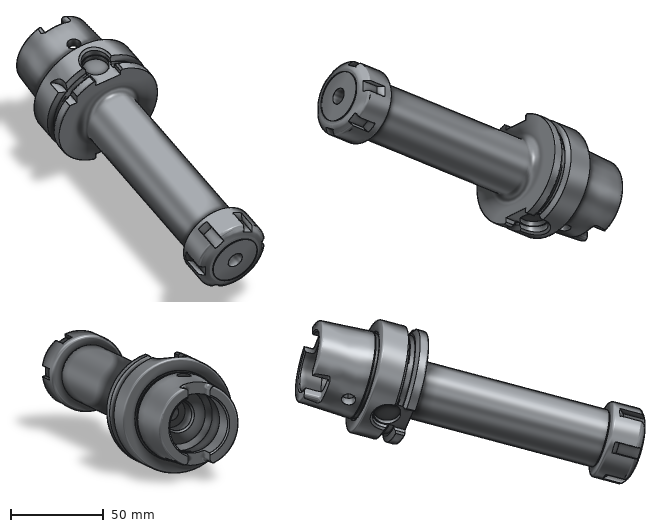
import cadquery as cq
import math


shank_end_radius = 22.8
shank_rim_fillet = 1.3
shank_slope = 0.05
relief_start = 29.7
relief_slope_end = 30.5
relief_radius = 23.8
relief_outer_radius = 24.9
relief_face_depth = 0.5

flange_start = 31.8
flange_end = 57.8
flange_radius = 63.0 / 2
flange_front_fillet = 1.1
flange_back_chamfer = (0.7, 0.2)
groove_start = 46.2
groove_end = 53.0
groove_floor_radius = 27.5
groove_wall_inset = 1.7
groove_wall_angle = 30
groove_fillet = 0.7

shaft_radius = 32.0 / 2
shaft_fillet = 4.7
nose_start = 166.7
nose_chamfer = 0.7
nose_end = 179.6

mouth_radius = 17.5
mouth_depth = 0.7
bore_radius = 16.7
clamp_lip_depth = 13.0
clamp_radius = 18.5
bore_floor = 31.8
floor_chamfer_radius = 15.5
tube_radius = 9.4
tube_depth = 11.2
tube_chamfer = 1.1
coolant_radius = 4.5

drive_half_width = 6.4
drive_depth_top = 5.8
drive_depth_bottom = 9.7
drive_flare_height = 18.9
drive_flare_radius = 2.0
drive_floor_fillet = 1.7

cross_hole_x = 22.8
cross_hole_radius = 3.7

key_center_x = 44.9
key_half_width = 7.9
key_floor = 26.5
key_edge_chamfer = 1.3
key_recess_radius = 7.3
key_recess_depth = 2.8

notch_inset = 19.8
notch_center_x = 44.3
notch_cutter_radius = 6.7

nut_end = 187.1
nut_radius = 42.1 / 2
nut_back_fillet = 1.7
nut_shoulder = 182.5
nut_edge_middle = (183.4, 20.8)
nut_edge_end = (184.1, 20.0)
nut_dome_middle = (185.6, 18.1)
nut_face = 186.5
nut_face_radius = 15.7
nut_boss_radius = 14.0

wrench_count = 6
wrench_first_angle = 30
wrench_width = 6.2
wrench_floor_radius = 18.0
wrench_start_low_y = 170.3
wrench_start_high_y = 172.1

clear = 9.4

quarter_sag = 1 - math.sqrt(0.5)


def turn(profile):
    """Revolve a closed XY profile, whose Y is the radius, about the X axis."""
    return profile.close().revolve(360, (0, 0, 0), (1, 0, 0))


def axial_rod(start, end, radius):
    return cq.Workplane("YZ", origin=(start, 0, 0)).circle(radius).extrude(end - start)


def holder_blank():
    shank_back_radius = shank_end_radius + shank_slope * relief_start
    wall_drop = groove_wall_inset / math.tan(math.radians(groove_wall_angle))
    wall_radius = flange_radius - wall_drop
    left_wall = groove_start + groove_wall_inset
    right_wall = groove_end - groove_wall_inset
    rim_sag = shank_rim_fillet * quarter_sag
    flange_sag = flange_front_fillet * quarter_sag
    groove_sag = groove_fillet * quarter_sag
    shaft_sag = shaft_fillet * quarter_sag
    nose_radius = shaft_radius - nose_chamfer
    profile = (
        cq.Workplane("XY")
        .moveTo(0, 0)
        .lineTo(0, shank_end_radius - shank_rim_fillet)
        .threePointArc((rim_sag, shank_end_radius - rim_sag), (shank_rim_fillet, shank_end_radius))
        .lineTo(relief_start, shank_back_radius)
        .lineTo(relief_slope_end, relief_radius)
        .lineTo(flange_start + relief_face_depth, relief_radius)
        .lineTo(flange_start + relief_face_depth, relief_outer_radius)
        .lineTo(flange_start, relief_outer_radius)
        .lineTo(flange_start, flange_radius - flange_front_fillet)
        .threePointArc(
            (flange_start + flange_sag, flange_radius - flange_sag),
            (flange_start + flange_front_fillet, flange_radius),
        )
        .lineTo(groove_start, flange_radius)
        .lineTo(left_wall, wall_radius)
        .lineTo(left_wall, groove_floor_radius + groove_fillet)
        .threePointArc(
            (left_wall + groove_sag, groove_floor_radius + groove_sag),
            (left_wall + groove_fillet, groove_floor_radius),
        )
        .lineTo(right_wall, groove_floor_radius)
        .lineTo(right_wall, wall_radius)
        .lineTo(groove_end, flange_radius)
        .lineTo(flange_end - flange_back_chamfer[0], flange_radius)
        .lineTo(flange_end, flange_radius - flange_back_chamfer[1])
        .lineTo(flange_end, shaft_radius + shaft_fillet)
        .threePointArc(
            (flange_end + shaft_sag, shaft_radius + shaft_sag),
            (flange_end + shaft_fillet, shaft_radius),
        )
        .lineTo(nose_start - nose_chamfer, shaft_radius)
        .lineTo(nose_start, nose_radius)
        .lineTo(nose_end, nose_radius)
        .lineTo(nose_end, 0)
    )
    return turn(profile)


def axial_bores():
    floor_chamfer = clamp_radius - floor_chamfer_radius
    tube_end = bore_floor + tube_depth
    profile = (
        cq.Workplane("XY")
        .moveTo(0, 0)
        .lineTo(0, mouth_radius)
        .lineTo(mouth_depth, bore_radius)
        .lineTo(clamp_lip_depth, bore_radius)
        .lineTo(clamp_lip_depth, clamp_radius)
        .lineTo(bore_floor - floor_chamfer, clamp_radius)
        .lineTo(bore_floor, floor_chamfer_radius)
        .lineTo(bore_floor, tube_radius)
        .lineTo(bore_floor + tube_chamfer, tube_radius - tube_chamfer)
        .lineTo(tube_end, tube_radius - tube_chamfer)
        .lineTo(tube_end, coolant_radius)
        .lineTo(nose_end, coolant_radius)
        .lineTo(nose_end, 0)
    )
    return turn(profile)


def drive_slot(depth):
    """Slot in the top of the shank rim with flared outer corners and a rounded floor."""
    half = drive_half_width
    flare = drive_flare_radius
    flare_sag = flare * quarter_sag
    flare_top = drive_flare_height + flare
    outer_half = half + clear
    outside = shank_end_radius + clear
    slot = (
        cq.Workplane("YZ", origin=(-clear, 0, 0))
        .moveTo(-half, 0)
        .lineTo(half, 0)
        .lineTo(half, drive_flare_height)
        .threePointArc((half + flare_sag, flare_top - flare_sag), (half + flare, flare_top))
        .lineTo(outer_half, flare_top)
        .lineTo(outer_half, outside)
        .lineTo(-outer_half, outside)
        .lineTo(-outer_half, flare_top)
        .lineTo(-half - flare, flare_top)
        .threePointArc((-half - flare_sag, flare_top - flare_sag), (-half, drive_flare_height))
        .close()
        .extrude(depth + clear)
    )
    return slot.faces(">X").edges("not(<Z or >Z or <Y or >Y)").fillet(drive_floor_fillet)


def cross_hole():
    """Plain hole through the shank from top to bottom."""
    reach = shank_end_radius + clear
    return (
        cq.Workplane("XY", origin=(cross_hole_x, 0, -reach))
        .circle(cross_hole_radius)
        .extrude(2 * reach)
    )


def key_slot():
    """Slot with a rounded end on the top of the flange, with a round recess in its floor."""
    half = key_half_width
    slot = (
        cq.Workplane("XY", origin=(0, 0, key_floor))
        .moveTo(flange_end + clear, -half)
        .lineTo(key_center_x, -half)
        .threePointArc((key_center_x - half, 0), (key_center_x, half))
        .lineTo(flange_end + clear, half)
        .close()
        .extrude(clear)
    )
    recess = (
        cq.Workplane("XY", origin=(key_center_x, 0, key_floor - key_recess_depth))
        .circle(key_recess_radius)
        .extrude(key_recess_depth + clear)
    )
    return slot.union(recess)


def chamfer_key_slot(holder, side):
    """Chamfer the key slot's edges on the flange surface; side is 1 for the top, -1 for the bottom."""
    margin = 0.2
    reach = key_half_width + margin
    low = math.sqrt(flange_radius**2 - reach**2)
    edges = cq.selectors.BoxSelector(
        (key_center_x - reach, -reach, side * low),
        (flange_end - flange_back_chamfer[0] + margin, reach, side * (flange_radius + margin)),
        boundingbox=True,
    )
    return holder.edges(edges).chamfer(key_edge_chamfer)


def orientation_notch():
    """Square corner cut at -Y +Z whose closed end is the round of an upright cutter."""
    radius = notch_cutter_radius
    sag = radius * quarter_sag
    reach = 2 * radius
    return (
        cq.Workplane("XY", origin=(0, 0, notch_inset))
        .moveTo(flange_end + clear, -notch_inset)
        .lineTo(notch_center_x, -notch_inset)
        .threePointArc(
            (notch_center_x - radius + sag, -notch_inset - sag),
            (notch_center_x - radius, -notch_inset - radius),
        )
        .lineTo(notch_center_x - radius, -notch_inset - reach)
        .lineTo(flange_end + clear, -notch_inset - reach)
        .close()
        .extrude(reach)
    )


def upside_down(shape):
    return shape.rotate((0, 0, 0), (1, 0, 0), 180)


def make_holder():
    holder = holder_blank().cut(key_slot()).cut(upside_down(key_slot()))
    holder = chamfer_key_slot(holder, 1)
    holder = chamfer_key_slot(holder, -1)
    return (
        holder.cut(axial_bores())
        .cut(drive_slot(drive_depth_top))
        .cut(upside_down(drive_slot(drive_depth_bottom)))
        .cut(orientation_notch())
        .cut(cross_hole())
    )


def wrench_slot(start):
    """Slot at the top of the nut, open at the front, with a 45 degree ramp at its closed end."""
    outside = nut_radius + clear
    return (
        cq.Workplane("XZ", origin=(0, wrench_width / 2, 0))
        .moveTo(start - clear, outside)
        .lineTo(start, nut_radius)
        .lineTo(start + nut_radius - wrench_floor_radius, wrench_floor_radius)
        .lineTo(nut_end + clear, wrench_floor_radius)
        .lineTo(nut_end + clear, outside)
        .close()
        .extrude(wrench_width)
    )


def make_nut():
    back_sag = nut_back_fillet * quarter_sag
    profile = (
        cq.Workplane("XY")
        .moveTo(nose_start, 0)
        .lineTo(nose_start, nut_radius - nut_back_fillet)
        .threePointArc(
            (nose_start + back_sag, nut_radius - back_sag),
            (nose_start + nut_back_fillet, nut_radius),
        )
        .lineTo(nut_shoulder, nut_radius)
        .threePointArc(nut_edge_middle, nut_edge_end)
        .threePointArc(nut_dome_middle, (nut_face, nut_face_radius))
        .lineTo(nut_face, nut_boss_radius)
        .lineTo(nut_end, nut_boss_radius)
        .lineTo(nut_end, 0)
    )
    nut = turn(profile)
    nut = nut.cut(axial_rod(nose_start, nose_end, shaft_radius - nose_chamfer))
    nut = nut.cut(axial_rod(nose_end, nut_end, coolant_radius))
    for index in range(wrench_count):
        angle = wrench_first_angle + index * 360 / wrench_count
        on_low_side = math.sin(math.radians(angle)) > 0
        start = wrench_start_low_y if on_low_side else wrench_start_high_y
        nut = nut.cut(wrench_slot(start).rotate((0, 0, 0), (1, 0, 0), angle))
    return nut


holder = make_holder()
nut = make_nut()

result = cq.Compound.makeCompound([holder.val(), nut.val()])